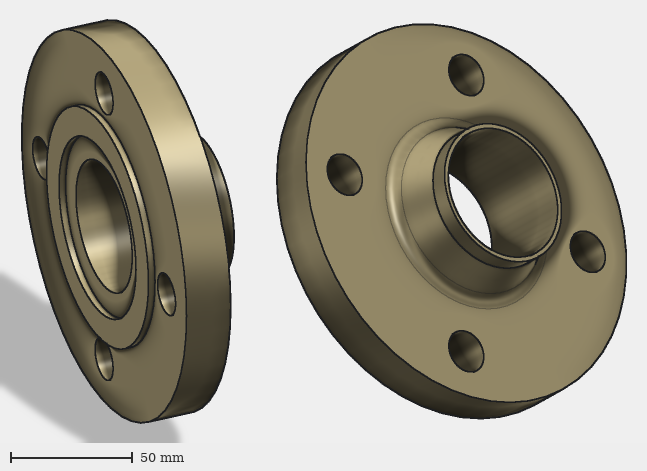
import cadquery as cq

flange_diameter = 165.0
flange_thickness = 20.0
overall_length = 48.0
bore_diameter = 56.3

ring_outer_diameter = 102.0
ring_inner_diameter = 77.0
ring_height = 3.0

collar_diameter = 60.2
collar_length = 8.0
neck_base_diameter = 75.5
neck_fillet = 6.0

bolt_circle_diameter = 125.0
bolt_hole_diameter = 18.0
bolt_hole_count = 4

flange_back = ring_height + flange_thickness
neck_length = overall_length - flange_back
taper_length = neck_length - collar_length


def disc(diameter, start, length):
    """Solid cylinder along +Y, beginning at Y = start."""
    plane = cq.Workplane("XZ", origin=(0, start, 0))
    return plane.circle(diameter / 2).extrude(-length)


def neck():
    """Tapered hub and straight collar behind the flange."""
    return (
        cq.Workplane("XY")
        .moveTo(0, flange_back)
        .lineTo(neck_base_diameter / 2, flange_back)
        .lineTo(collar_diameter / 2, flange_back + taper_length)
        .lineTo(collar_diameter / 2, overall_length)
        .lineTo(0, overall_length)
        .close()
        .revolve(360, (0, 0, 0), (0, 1, 0))
    )


def bolt_holes():
    """Through-hole cutters, with holes on the X and Z axes."""
    return (
        cq.Workplane("XZ")
        .polarArray(bolt_circle_diameter / 2, 0, 360, bolt_hole_count)
        .circle(bolt_hole_diameter / 2)
        .extrude(-flange_back)
    )


body = disc(flange_diameter, ring_height, flange_thickness).union(neck())

neck_foot = cq.selectors.RadiusNthSelector(1)
body = body.edges("%CIRCLE").edges(neck_foot).fillet(neck_fillet)

ring = disc(ring_outer_diameter, 0, ring_height).cut(disc(ring_inner_diameter, 0, ring_height))
bore = disc(bore_diameter, 0, overall_length)

result = body.union(ring).cut(bore).cut(bolt_holes())